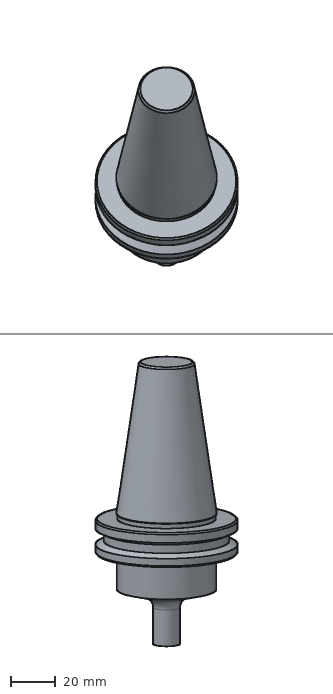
import cadquery as cq
import math

stem_radius = 12.2 / 2
body_radius = 44.5 / 2
taper_radius = 44.9 / 2
flange_radius = 63.5 / 2
groove_radius = 56.0 / 2
neck_radius = 44.0 / 2

total_height = 128.2
stem_top = 16.7
flange_bottom = 41.2
groove_lower_edge = 45.3
groove_upper_edge = 52.5
flange_top = 57.0
taper_bottom = 59.0

stem_fillet = 5.0
shoulder_angle = math.radians(15)
body_fillet = 1.0
flange_chamfer = 0.8
groove_flank_angle = math.radians(24)
tip_chamfer = 0.9

taper_slope = 7 / 24 / 2
taper_edge = taper_bottom + taper_radius - neck_radius
tip_radius = taper_radius - taper_slope * (total_height - tip_chamfer - taper_edge)

fillet_center_radius = stem_radius + stem_fillet


def stem_fillet_point(angle):
    """Point on the stem fillet, with the angle measured up from horizontal."""
    return (
        fillet_center_radius - stem_fillet * math.cos(angle),
        stem_top + stem_fillet * math.sin(angle),
    )


fillet_sweep = math.pi / 2 - shoulder_angle
fillet_end = stem_fillet_point(fillet_sweep)
body_bottom = fillet_end[1] + (body_radius - fillet_end[0]) * math.tan(shoulder_angle)
groove_flank_height = (flange_radius - groove_radius) * math.tan(groove_flank_angle)
body_fillet_mid = body_fillet * (1 - math.sqrt(0.5))

profile = (
    cq.Workplane("XZ")
    .moveTo(0, 0)
    .lineTo(stem_radius, 0)
    .lineTo(stem_radius, stem_top)
    .threePointArc(stem_fillet_point(fillet_sweep / 2), fillet_end)
    .lineTo(body_radius, body_bottom)
    .lineTo(body_radius, flange_bottom - body_fillet)
    .threePointArc(
        (body_radius + body_fillet_mid, flange_bottom - body_fillet_mid),
        (body_radius + body_fillet, flange_bottom),
    )
    .lineTo(flange_radius - flange_chamfer, flange_bottom)
    .lineTo(flange_radius, flange_bottom + flange_chamfer)
    .lineTo(flange_radius, groove_lower_edge)
    .lineTo(groove_radius, groove_lower_edge + groove_flank_height)
    .lineTo(groove_radius, groove_upper_edge - groove_flank_height)
    .lineTo(flange_radius, groove_upper_edge)
    .lineTo(flange_radius, flange_top - flange_chamfer)
    .lineTo(flange_radius - flange_chamfer, flange_top)
    .lineTo(neck_radius, flange_top)
    .lineTo(neck_radius, taper_bottom)
    .lineTo(taper_radius, taper_edge)
    .lineTo(tip_radius, total_height - tip_chamfer)
    .lineTo(tip_radius - tip_chamfer, total_height)
    .lineTo(0, total_height)
    .close()
)

result = profile.revolve(360, (0, 0, 0), (0, 1, 0))